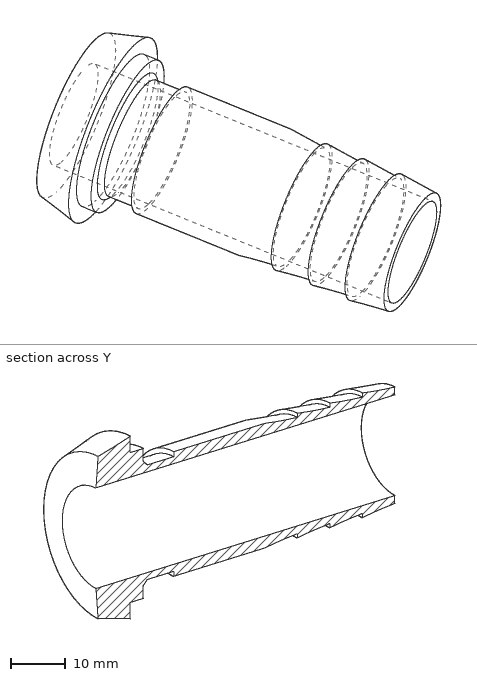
import cadquery as cq

total_length = 69.0
face_rise = 0.5
flange_end = 8.0
collar_end = 11.0
neck_end = 17.95
barb_count = 4
barb_pitch = 7.5
barbs_start = total_length - barb_count * barb_pitch

bore_radius = 20.0 / 2
face_radius = 16.2
flange_radius = 36.5 / 2
collar_radius = 30.0 / 2
neck_radius = 23.0 / 2
shank_radius = 25.0 / 2
barb_root_radius = 11.65

neck_chamfer = 1.0

profile = (
    cq.Workplane("XY")
    .moveTo(0, bore_radius)
    .lineTo(face_rise, face_radius)
    .lineTo(flange_end, flange_radius)
)

profile = (
    profile.lineTo(flange_end, collar_radius)
    .lineTo(collar_end, collar_radius)
    .lineTo(collar_end, neck_radius + neck_chamfer)
    .lineTo(collar_end + neck_chamfer, neck_radius)
    .lineTo(neck_end, neck_radius)
    .lineTo(neck_end, shank_radius)
)

for index in range(barb_count):
    barb_start = barbs_start + index * barb_pitch
    profile = profile.lineTo(barb_start, shank_radius)
    profile = profile.lineTo(barb_start + barb_pitch, barb_root_radius)

profile = profile.lineTo(total_length, bore_radius).close()
result = profile.revolve(360, (0, 0, 0), (1, 0, 0))